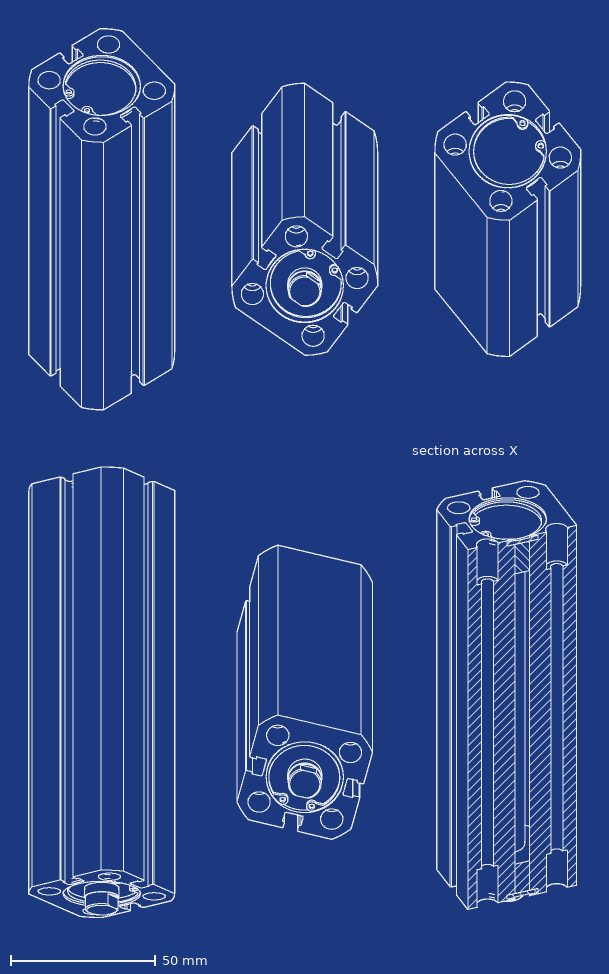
import cadquery as cq
import math

total_length = 154.0
body_width = 41.0
rod_projection = 6.0
body_length = total_length - rod_projection
half_width = body_width / 2

flat_half_width = 15.0
corner_radius = math.hypot(half_width, flat_half_width)

slot_mouth_width = 5.1
slot_inner_width = 6.6
slot_lip_depth = 2.5
slot_depth = 6.0
slot_mouth_chamfer = 0.3
slot_floor_fillet = 0.6
slot_angles = (-90, 0, 90)

hole_spacing = 26.0
hole_diameter = 4.3
counterbore_diameter = 7.7
counterbore_depth = 15.4

bore_radius = 13.4
ring_outer_radius = 14.3
ring_inner_radius = 12.3
ring_inner_shift = 0.6
ring_thickness = 1.4
ring_recess = 0.8
ear_offset_x = 5.2
ear_offset_y = 10.5
ear_radius = 1.8
ear_hole_diameter = 1.8
ear_arm_rise = 1.4

cover_thickness = 12.3
cover_recess = ring_recess + ring_thickness

rod_diameter = 11.9
rod_tip_diameter = 11.4
rod_collar_projection = 1.2
rod_tip_length = rod_projection - rod_collar_projection
rod_tip_chamfer = 0.5
rod_flat_width = 9.9
rod_flat_length = 4.2


def cylinder(radius, bottom, height):
    """Cylinder on the part's axis, from the given Z upward."""
    return cq.Workplane("XY").workplane(offset=bottom).circle(radius).extrude(height)


def to_bottom_end(shape):
    """Mirror a shape from the top end of the housing to its bottom end."""
    return shape.mirror("XY", (0, 0, body_length / 2))


def t_slot(angle):
    """Cutter for a full-length T-slot in the -Y face, turned about the axis by an angle."""
    mouth_half = slot_mouth_width / 2
    inner_half = slot_inner_width / 2
    face_half = mouth_half + slot_mouth_chamfer
    face_y = -half_width
    mouth_y = face_y + slot_mouth_chamfer
    lip_y = face_y + slot_lip_depth
    floor_y = face_y + slot_depth
    outline = [
        (-face_half, face_y),
        (-mouth_half, mouth_y),
        (-mouth_half, lip_y),
        (-inner_half, lip_y),
        (-inner_half, floor_y),
        (inner_half, floor_y),
        (inner_half, lip_y),
        (mouth_half, lip_y),
        (mouth_half, mouth_y),
        (face_half, face_y),
    ]
    slot = cq.Workplane("XY").polyline(outline).close().extrude(body_length)
    slot = slot.faces(">Y").edges("|Z").fillet(slot_floor_fillet)
    return slot.rotate((0, 0, 0), (0, 0, 1), angle)


def mounting_holes(diameter, bottom, depth):
    """Cutter for the four holes of one diameter, from the given Z upward."""
    return (
        cq.Workplane("XY")
        .workplane(offset=bottom)
        .rect(hole_spacing, hole_spacing, forConstruction=True)
        .vertices()
        .circle(diameter / 2)
        .extrude(depth)
    )


def make_housing(top_ring):
    """Square extrusion with T-slots, mounting holes, a through bore and grooves shaped to the rings."""
    housing = cq.Workplane("XY").rect(body_width, body_width).extrude(body_length)
    housing = housing.intersect(cylinder(corner_radius, 0, body_length))
    housing = housing.cut(cylinder(bore_radius, 0, body_length))
    for angle in slot_angles:
        housing = housing.cut(t_slot(angle))

    housing = housing.cut(mounting_holes(hole_diameter, 0, body_length))
    counterbores = mounting_holes(
        counterbore_diameter, body_length - counterbore_depth, counterbore_depth
    )
    for cutter in (counterbores, top_ring):
        housing = housing.cut(cutter).cut(to_bottom_end(cutter))
    return housing


def make_top_ring():
    """Internal retaining ring, open toward -Y, with a drilled ear at each end."""
    bottom = body_length - cover_recess
    plane = cq.Workplane("XY").workplane(offset=bottom)

    band = cylinder(ring_outer_radius, bottom, ring_thickness)
    band = band.cut(plane.center(0, -ring_inner_shift).circle(ring_inner_radius).extrude(ring_thickness))
    gap = plane.center(0, -ring_outer_radius / 2).rect(2 * ear_offset_x, ring_outer_radius)
    band = band.cut(gap.extrude(ring_thickness))

    ear_centers = [(-ear_offset_x, -ear_offset_y), (ear_offset_x, -ear_offset_y)]
    arm_length = bore_radius - ear_offset_x
    arm_width = bore_radius - ear_offset_y + ear_arm_rise
    arm_x = ear_offset_x + arm_length / 2
    arm_y = -bore_radius + arm_width / 2
    ears = plane.pushPoints(ear_centers).circle(ear_radius).extrude(ring_thickness)
    arms = plane.pushPoints([(-arm_x, arm_y), (arm_x, arm_y)]).rect(arm_length, arm_width)
    ears = ears.union(arms.extrude(ring_thickness))
    ears = ears.intersect(cylinder(bore_radius, bottom, ring_thickness))

    ear_holes = plane.pushPoints(ear_centers).circle(ear_hole_diameter / 2).extrude(ring_thickness)
    return band.union(ears).cut(ear_holes)


def make_end_cover():
    """Plain disc closing the top of the bore."""
    return cylinder(bore_radius, body_length - cover_recess - cover_thickness, cover_thickness)


def make_rod_cover():
    """Disc closing the bottom of the bore, with a hole that guides the rod."""
    disc = cylinder(bore_radius, cover_recess, cover_thickness)
    return disc.cut(cylinder(rod_diameter / 2, cover_recess, cover_thickness))


def make_rod():
    """Rod reaching from its projecting tip up to the end cover."""
    end_cover_bottom = body_length - cover_recess - cover_thickness
    tip = cylinder(rod_tip_diameter / 2, -rod_projection, rod_tip_length)
    tip = tip.faces("<Z").chamfer(rod_tip_chamfer)
    flats = (
        cq.Workplane("XY")
        .workplane(offset=-rod_projection)
        .rect(rod_diameter, rod_diameter)
        .rect(rod_diameter, rod_flat_width)
        .extrude(rod_flat_length)
    )
    shank = cylinder(rod_diameter / 2, -rod_collar_projection, end_cover_bottom + rod_collar_projection)
    return shank.union(tip.cut(flats))


top_ring = make_top_ring()
bottom_ring = to_bottom_end(top_ring)
housing = make_housing(top_ring)
end_cover = make_end_cover()
rod_cover = make_rod_cover()
rod = make_rod()

result = cq.Compound.makeCompound([
    housing.val(),
    end_cover.val(),
    rod_cover.val(),
    rod.val(),
    top_ring.val(),
    bottom_ring.val(),
])